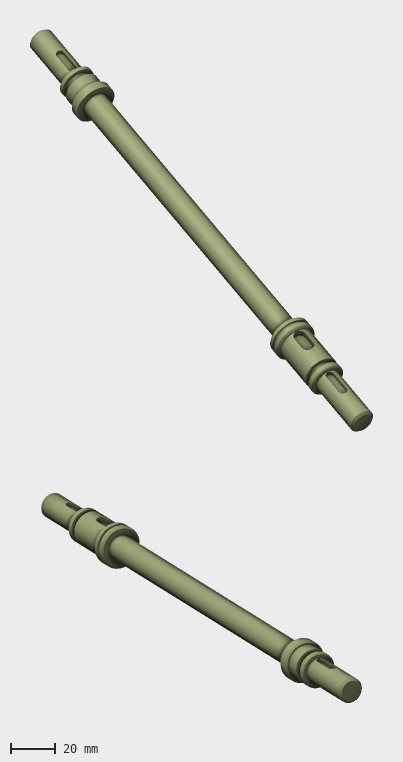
import cadquery as cq

length = 270.2
shaft_radius = 6.0
groove_radius = 6.2
seat_radius = 8.5
collar_radius = 10.0
end_chamfer = 1.0
edge_chamfer = 0.8
ring_chamfer = 0.5

left_land = (29.5, 32.0)
left_seat_start = 35.0
left_collar = (41.5, 46.5)

right_collar = (207.5, 214.5)
collar_groove = (210.0, 211.5)
collar_groove_depth = 1.0
right_seat_end = 235.0
right_land = (237.8, 240.7)

journal_key_width = 4.0
journal_key_depth = 2.5
left_key = (15.0, left_land[0])
right_key = (right_land[1], 255.3)
seat_key_width = 6.0
seat_key_depth = 3.5
seat_key = (right_collar[1], 227.0)


def cylinder(start, end, radius):
    """Solid round section between two positions along the axis."""
    return cq.Workplane("YZ").workplane(offset=start).circle(radius).extrude(end - start)


def keyway(span, width, depth, surface_radius):
    """Round-ended cutter reaching the given depth below a round surface."""
    start, end = span
    return (
        cq.Workplane("XY")
        .workplane(offset=surface_radius - depth)
        .center((start + end) / 2, 0)
        .slot2D(end - start, width)
        .extrude(collar_radius)
    )


shaft = cylinder(0, length, shaft_radius).faces("<X or >X").chamfer(end_chamfer)

shaft = shaft.union(cylinder(left_land[0], left_collar[0], groove_radius))
shaft = shaft.union(cylinder(*left_land, seat_radius).faces("<X").chamfer(ring_chamfer))
shaft = shaft.union(cylinder(left_seat_start, left_collar[0], seat_radius))
shaft = shaft.union(cylinder(*left_collar, collar_radius).faces("<X").chamfer(edge_chamfer))

collar = cylinder(*right_collar, collar_radius).faces("<X or >X").chamfer(edge_chamfer)
groove = cylinder(*collar_groove, collar_radius).cut(
    cylinder(*collar_groove, collar_radius - collar_groove_depth)
)
shaft = shaft.union(collar.cut(groove))

shaft = shaft.union(cylinder(right_collar[1], right_land[1], groove_radius))
shaft = shaft.union(cylinder(right_collar[1], right_seat_end, seat_radius))
shaft = shaft.union(cylinder(*right_land, seat_radius).faces(">X").chamfer(ring_chamfer))

for journal_key in (left_key, right_key):
    shaft = shaft.cut(keyway(journal_key, journal_key_width, journal_key_depth, shaft_radius))
shaft = shaft.cut(keyway(seat_key, seat_key_width, seat_key_depth, seat_radius))

result = shaft.translate((-length / 2, 0, 0))